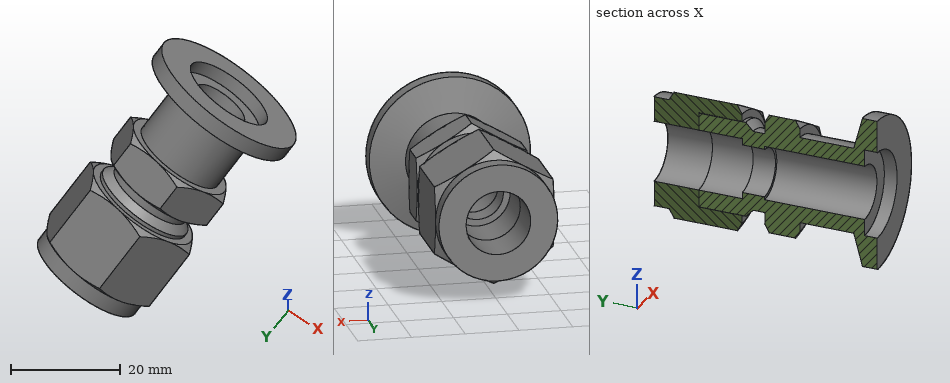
import cadquery as cq
import math

flange_rim_end = 3.05
flange_cone_end = 4.78
body_hex_start = 15.45
body_hex_end = 22.55
neck_end = 24.8
thread_cone_end = 26.3
nut_start = 27.0
nut_hex_end = 41.65
total_length = 44.65

flange_diameter = 30.0
tube_diameter = 17.25
neck_diameter = 16.0
thread_diameter = 19.05
body_hex_flats = 20.65
nut_hex_flats = 22.1
hex_chamfer_angle = 30.0

recess_diameter = 17.2
recess_depth = 2.55
entry_bore_diameter = 10.65
throat_diameter = 9.5
socket_diameter = 12.0

throat_start = body_hex_end
socket_start = nut_start
body_end = 35.7

front_face = -total_length / 2


def plane_at(station):
    """Workplane at a station, with its normal along +Y and local X along Z."""
    return cq.Workplane(cq.Plane((0, front_face + station, 0), xDir=(0, 0, 1), normal=(0, 1, 0)))


def cylinder(diameter, start, end):
    return plane_at(start).circle(diameter / 2).extrude(end - start)


def turned(points):
    """Revolve a profile of (radius, station) points about the Y axis."""
    profile = [(radius, front_face + station) for radius, station in points]
    return cq.Workplane("XY").polyline(profile).close().revolve(360, (0, 0, 0), (0, 1, 0))


def chamfered_hex(flats, start, end):
    """Hexagonal prism with corners at +Z and -Z, turned down to cones at both ends."""
    corner_radius = flats / math.sqrt(3)
    face_radius = flats / 2
    chamfer_length = (corner_radius - face_radius) * math.tan(math.radians(hex_chamfer_angle))
    prism = plane_at(start).polygon(6, 2 * corner_radius).extrude(end - start)
    envelope = turned([
        (0, start),
        (face_radius, start),
        (corner_radius, start + chamfer_length),
        (corner_radius, end - chamfer_length),
        (face_radius, end),
        (0, end),
    ])
    return prism.intersect(envelope)


def make_body():
    """Flanged body with a wrench hexagon and a plain threaded end inside the nut."""
    body = turned([
        (0, 0),
        (flange_diameter / 2, 0),
        (flange_diameter / 2, flange_rim_end),
        (tube_diameter / 2, flange_cone_end),
        (tube_diameter / 2, body_hex_start),
        (neck_diameter / 2, body_hex_start),
        (neck_diameter / 2, neck_end),
        (thread_diameter / 2, thread_cone_end),
        (thread_diameter / 2, body_end),
        (0, body_end),
    ])
    body = body.union(chamfered_hex(body_hex_flats, body_hex_start, body_hex_end))
    body = body.cut(cylinder(recess_diameter, 0, recess_depth))
    body = body.cut(cylinder(entry_bore_diameter, recess_depth, throat_start))
    body = body.cut(cylinder(throat_diameter, throat_start, socket_start))
    return body.cut(cylinder(socket_diameter, socket_start, body_end))


def make_nut():
    """Hexagonal nut with a round end collar, recessed to fit over the body."""
    nut = chamfered_hex(nut_hex_flats, nut_start, nut_hex_end)
    nut = nut.union(cylinder(nut_hex_flats, nut_hex_end, total_length))
    nut = nut.cut(cylinder(thread_diameter, nut_start, body_end))
    return nut.cut(cylinder(socket_diameter, body_end, total_length))


body = make_body()
nut = make_nut()

result = cq.Compound.makeCompound([body.solids().val(), nut.solids().val()])